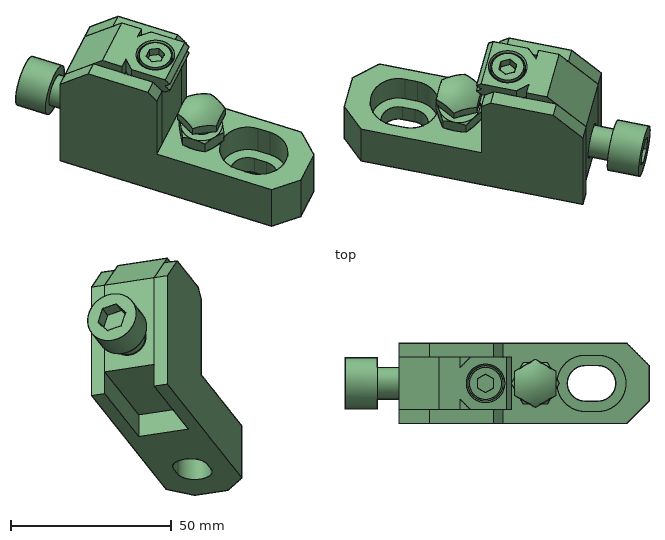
import cadquery as cq
import math

hex_half_sector = 30.0

base_length = 78.0
base_width = 25.0
foot_height = 18.0
tower_length = 32.5
tower_height = 47.0
slope_start_height = 37.5
tower_nose_chamfer = 3.0
foot_corner_cut = 7.0

mount_slot_x = 60.0
mount_slot_width = 11.0
mount_slot_stretch = 4.0
mount_recess_width = 17.5
mount_recess_depth = 11.0

jaw_width = 16.3
jaw_bottom = 7.5
jaw_top = 50.0
tooth_pitch = 3.0
tooth_depth = 1.5
tooth_count = 2
tooth_root_x = 33.6
nose_bottom = jaw_top - tooth_count * tooth_pitch
notch_x = 19.1
notch_size = 3.2
notch_depth = jaw_top - nose_bottom

jaw_bolt_x = 27.0
jaw_bolt_head_diameter = 10.0
jaw_bolt_recess_diameter = 11.0
jaw_bolt_recess_depth = 6.0
jaw_bolt_recess_chamfer = 0.5
jaw_bolt_socket = 5.0
jaw_bolt_socket_depth = 3.0

screw_axis_z = 17.5
screw_diameter = 10.0
screw_length = 30.0
screw_head_diameter = 16.0
screw_head_length = 10.0
screw_standoff = 6.7
screw_socket = 8.0
screw_socket_depth = 5.0
screw_turn = 12.0
screw_hole_chamfer = 0.5

stop_x = 42.5
stop_diameter = 8.0
stop_hex = 13.0
stop_nut_height = 4.9
stop_nut_chamfer_angle = 30.0
stop_head_bottom = 26.6
stop_top = 32.0
stop_dome_radius = 12.0


def across_corners(across_flats):
    return across_flats / math.cos(math.radians(hex_half_sector))


def make_base():
    """Foot and tower with the jaw slot and the recessed mounting slot."""
    back_slope_run = tower_height - slope_start_height
    body = (
        cq.Workplane("XZ")
        .polyline([
            (0, 0),
            (base_length, 0),
            (base_length, foot_height),
            (tower_length, foot_height),
            (tower_length, tower_height - tower_nose_chamfer),
            (tower_length - tower_nose_chamfer, tower_height),
            (back_slope_run, tower_height),
            (0, slope_start_height),
        ])
        .close()
        .extrude(base_width / 2, both=True)
    )
    body = body.edges("|Z and >X").chamfer(foot_corner_cut)

    jaw_slot = cq.Workplane("XY").box(
        tower_length, jaw_width, tower_height, centered=(False, True, False)
    )
    mount_slot = (
        cq.Workplane("XY")
        .center(mount_slot_x, 0)
        .slot2D(mount_slot_width + mount_slot_stretch, mount_slot_width)
        .extrude(foot_height)
    )
    mount_recess = (
        cq.Workplane("XY", origin=(mount_slot_x, 0, foot_height))
        .slot2D(mount_recess_width + mount_slot_stretch, mount_recess_width)
        .extrude(-mount_recess_depth)
    )
    return body.cut(jaw_slot).cut(mount_slot).cut(mount_recess)


def make_stop_nut():
    """Lock nut with corners along X, its corners bevelled at both ends."""
    nut = (
        cq.Workplane("XY", origin=(stop_x, 0, foot_height))
        .polygon(6, across_corners(stop_hex))
        .extrude(stop_nut_height)
    )
    face_radius = stop_hex / 2
    corner_radius = across_corners(stop_hex) / 2
    bevel_drop = (corner_radius - face_radius) * math.tan(math.radians(stop_nut_chamfer_angle))
    bevel_envelope = (
        cq.Workplane("XZ", origin=(stop_x, 0, foot_height))
        .polyline([
            (0, 0),
            (face_radius, 0),
            (corner_radius, bevel_drop),
            (corner_radius, stop_nut_height - bevel_drop),
            (face_radius, stop_nut_height),
            (0, stop_nut_height),
        ])
        .close()
        .revolve(360, (0, 0, 0), (0, 1, 0))
    )
    return nut.intersect(bevel_envelope)


def make_stop():
    """Shank, nut and domed head with corners along Y."""
    shank = (
        cq.Workplane("XY", origin=(stop_x, 0, foot_height))
        .circle(stop_diameter / 2)
        .extrude(stop_head_bottom - foot_height)
    )
    head = (
        cq.Workplane("XY")
        .polygon(6, across_corners(stop_hex))
        .extrude(stop_top - stop_head_bottom)
        .rotate((0, 0, 0), (0, 0, 1), hex_half_sector)
        .translate((stop_x, 0, stop_head_bottom))
    )
    dome = cq.Workplane("XY", origin=(stop_x, 0, stop_top - stop_dome_radius)).sphere(stop_dome_radius)
    return shank.union(head.intersect(dome)).union(make_stop_nut())


def make_jaw_blank():
    """Jaw profile with the back slope and the row of nose teeth."""
    profile = [
        (0, jaw_bottom),
        (tower_length, jaw_bottom),
        (tower_length, nose_bottom),
        (tooth_root_x, nose_bottom),
    ]
    for tooth in range(tooth_count):
        tooth_bottom = nose_bottom + tooth * tooth_pitch
        profile.append((tooth_root_x + tooth_depth, tooth_bottom + tooth_pitch / 2))
        profile.append((tooth_root_x, tooth_bottom + tooth_pitch))
    profile.append((jaw_top - slope_start_height, jaw_top))
    profile.append((0, slope_start_height))
    return cq.Workplane("XZ").polyline(profile).close().extrude(jaw_width / 2, both=True)


def make_notch(side):
    """Triangular corner notch in the jaw side at y = side * jaw_width / 2."""
    edge_y = side * jaw_width / 2
    return (
        cq.Workplane("XY", origin=(0, 0, jaw_top))
        .polyline([
            (notch_x, edge_y),
            (notch_x + notch_size, edge_y),
            (notch_x, edge_y - side * notch_size),
        ])
        .close()
        .extrude(-notch_depth)
    )


def make_jaw():
    """Jaw with corner notches, an integral bolt head on top and the screw hole."""
    body = make_jaw_blank()
    for side in (-1, 1):
        body = body.cut(make_notch(side))

    recess = (
        cq.Workplane("XY", origin=(jaw_bolt_x, 0, jaw_top))
        .circle(jaw_bolt_recess_diameter / 2)
        .extrude(-jaw_bolt_recess_depth)
    )
    recess_rim = cq.Workplane(cq.Solid.makeCone(
        jaw_bolt_recess_diameter / 2 + jaw_bolt_recess_chamfer,
        jaw_bolt_recess_diameter / 2,
        jaw_bolt_recess_chamfer,
        cq.Vector(jaw_bolt_x, 0, jaw_top),
        cq.Vector(0, 0, -1),
    ))
    bolt_head = (
        cq.Workplane("XY", origin=(jaw_bolt_x, 0, jaw_top))
        .circle(jaw_bolt_head_diameter / 2)
        .extrude(-jaw_bolt_recess_depth)
    )
    bolt_socket = (
        cq.Workplane("XY")
        .polygon(6, across_corners(jaw_bolt_socket))
        .extrude(-jaw_bolt_socket_depth)
        .rotate((0, 0, 0), (0, 0, 1), hex_half_sector)
        .translate((jaw_bolt_x, 0, jaw_top))
    )
    body = body.cut(recess).cut(recess_rim).union(bolt_head.cut(bolt_socket))

    screw_hole = (
        cq.Workplane("YZ", origin=(0, 0, screw_axis_z))
        .circle(screw_diameter / 2)
        .extrude(screw_length - screw_standoff)
    )
    screw_hole_rim = cq.Workplane(cq.Solid.makeCone(
        screw_diameter / 2 + screw_hole_chamfer,
        screw_diameter / 2,
        screw_hole_chamfer,
        cq.Vector(0, 0, screw_axis_z),
        cq.Vector(1, 0, 0),
    ))
    return body.cut(screw_hole).cut(screw_hole_rim)


def make_clamp_screw():
    """Socket head screw, built about the X axis, then turned and lifted into place."""
    head_start = -screw_standoff - screw_head_length
    head = (
        cq.Workplane("YZ", origin=(head_start, 0, 0))
        .circle(screw_head_diameter / 2)
        .extrude(screw_head_length)
    )
    shank = (
        cq.Workplane("YZ", origin=(-screw_standoff, 0, 0))
        .circle(screw_diameter / 2)
        .extrude(screw_length)
    )
    socket = (
        cq.Workplane("YZ", origin=(head_start, 0, 0))
        .polygon(6, across_corners(screw_socket))
        .extrude(screw_socket_depth)
    )
    screw = head.union(shank).cut(socket)
    return screw.rotate((0, 0, 0), (1, 0, 0), -screw_turn).translate((0, 0, screw_axis_z))


base = make_base().union(make_stop())
jaw = make_jaw()
clamp_screw = make_clamp_screw()

result = cq.Compound.makeCompound([base.val(), jaw.val(), clamp_screw.val()])